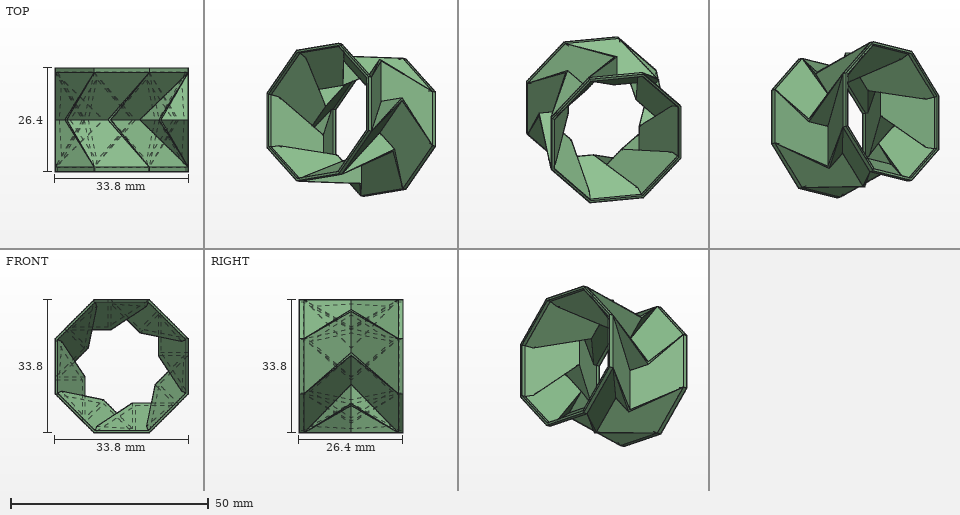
import cadquery as cq
import math


SIDES = 8
ACROSS_FLATS = 33.79
LENGTH = 26.4
RIM_LENGTH = 1.2
WALL = 0.6
FOLD_ANGLE = 30.0
GUSSET_OUTER_U = 3.5

STEP = 2 * math.pi / SIDES
HALF_STEP_TAN = math.tan(STEP / 2)
HALF_LENGTH = LENGTH / 2
FOLD_LENGTH = HALF_LENGTH - RIM_LENGTH
FOLD_TAN = math.tan(math.radians(FOLD_ANGLE))
FOLD_COS = math.cos(math.radians(FOLD_ANGLE))

OUTER_APOTHEM = ACROSS_FLATS / 2
INNER_APOTHEM = OUTER_APOTHEM - WALL
HALF_SIDE = OUTER_APOTHEM * HALF_STEP_TAN
FOLD_DEPTH = FOLD_LENGTH * FOLD_TAN
WAIST_OUTER = OUTER_APOTHEM - FOLD_DEPTH
WAIST_INNER = WAIST_OUTER - WALL / FOLD_COS
INNER_FOLD_START = (INNER_APOTHEM - WAIST_INNER) / FOLD_TAN

GUSSET_LEAN = (GUSSET_OUTER_U + HALF_SIDE) / FOLD_LENGTH
GUSSET_INNER_U = GUSSET_OUTER_U - WALL * math.hypot(1, GUSSET_LEAN)

PANEL_CORNER_LEAN = HALF_STEP_TAN * FOLD_TAN
INNER_CORNER_GAP = GUSSET_INNER_U + HALF_STEP_TAN * WAIST_INNER
INNER_GUSSET_START = INNER_CORNER_GAP / (GUSSET_LEAN - PANEL_CORNER_LEAN)
INNER_GUSSET_APOTHEM = WAIST_INNER + INNER_GUSSET_START * FOLD_TAN


def side_point(side, u, w, y):
    """Point in part axes from the frame of one side (side 0 is on top, u towards -X)."""
    turn = side * STEP
    x = -u * math.cos(turn) - w * math.sin(turn)
    z = -u * math.sin(turn) + w * math.cos(turn)
    return cq.Vector(x, y, z)


def polygon_face(points):
    """Flat face bounded by straight lines through the points."""
    return cq.Face.makeFromWires(cq.Wire.makePolygon(points, close=True))


def folded_half(start_apothem, start_y, waist_w, gusset_u, tip):
    """Solid from an octagon at start_y to the pinwheel outline at the waist.

    tip lists the (u, w) points of a fin's end, from the panel to the next gusset.
    """
    corner_u = -start_apothem * HALF_STEP_TAN
    corners = [side_point(i, corner_u, start_apothem, start_y) for i in range(SIDES)]
    valleys = [side_point(i, gusset_u, waist_w, 0) for i in range(SIDES)]
    tips = [[side_point(i, u, w, 0) for u, w in tip] for i in range(SIDES)]

    waist = []
    faces = [polygon_face(corners)]
    for i in range(SIDES):
        following = (i + 1) % SIDES
        next_corner = corners[following]
        waist += [valleys[i]] + tips[i]
        faces.append(polygon_face([corners[i], next_corner, tips[i][0], valleys[i]]))
        faces.append(polygon_face([next_corner, tips[i][-1], valleys[following]]))
        for first, second in zip(tips[i], tips[i][1:]):
            faces.append(polygon_face([next_corner, first, second]))
    faces.append(polygon_face(waist))
    return cq.Workplane(cq.Solid.makeSolid(cq.Shell.makeShell(faces)))


def octagon_loft(near_apothem, near_y, far_apothem, far_y):
    """Straight or tapered octagonal block between two distances from the waist."""
    wires = []
    for apothem, y in ((near_apothem, near_y), (far_apothem, far_y)):
        corner_u = -apothem * HALF_STEP_TAN
        points = [side_point(i, corner_u, apothem, y) for i in range(SIDES)]
        wires.append(cq.Wire.makePolygon(points, close=True))
    return cq.Workplane(cq.Solid.makeLoft(wires, True))


def outer_half():
    """Outer body of one half, from the waist to the end."""
    panel_edge = (HALF_SIDE + FOLD_DEPTH, WAIST_OUTER)
    gusset_edge = (
        GUSSET_OUTER_U * math.cos(STEP) + OUTER_APOTHEM * math.sin(STEP),
        OUTER_APOTHEM * math.cos(STEP) - GUSSET_OUTER_U * math.sin(STEP),
    )
    tip = [panel_edge, gusset_edge]
    fold = folded_half(OUTER_APOTHEM, FOLD_LENGTH, WAIST_OUTER, GUSSET_OUTER_U, tip)
    rim = octagon_loft(OUTER_APOTHEM, FOLD_LENGTH, OUTER_APOTHEM, HALF_LENGTH)
    return fold.union(rim)


def inner_half():
    """Hollow of one half, from the waist to the end."""
    tip_u = (GUSSET_INNER_U + WAIST_INNER * math.sin(STEP)) / math.cos(STEP)
    tip = [(tip_u, WAIST_INNER)]
    fold = folded_half(INNER_GUSSET_APOTHEM, INNER_GUSSET_START, WAIST_INNER, GUSSET_INNER_U, tip)
    taper = octagon_loft(INNER_GUSSET_APOTHEM, INNER_GUSSET_START, INNER_APOTHEM, INNER_FOLD_START)
    rim = octagon_loft(INNER_APOTHEM, INNER_FOLD_START, INNER_APOTHEM, HALF_LENGTH)
    return fold.union(taper).union(rim)


half_tube = outer_half().cut(inner_half())
result = half_tube.union(half_tube.mirror("XZ"))